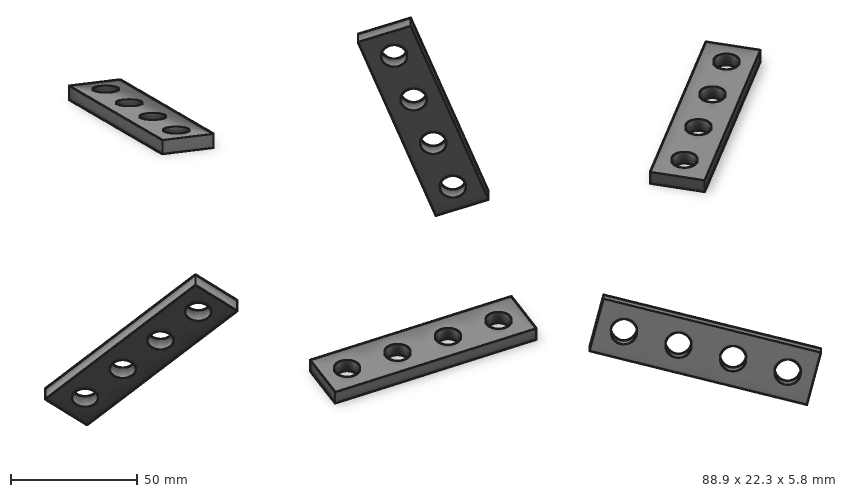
import cadquery as cq

length = 88.9
width = 22.3
thickness = 5.8

hole_diameter = 10.4
hole_count = 4
hole_pitch = width
first_hole_x = 10.8

hole_centers = [(first_hole_x + i * hole_pitch, width / 2) for i in range(hole_count)]

bar = cq.Workplane("XY").box(length, width, thickness, centered=False)
holes = cq.Workplane("XY").pushPoints(hole_centers).circle(hole_diameter / 2).extrude(thickness)

result = bar.cut(holes)